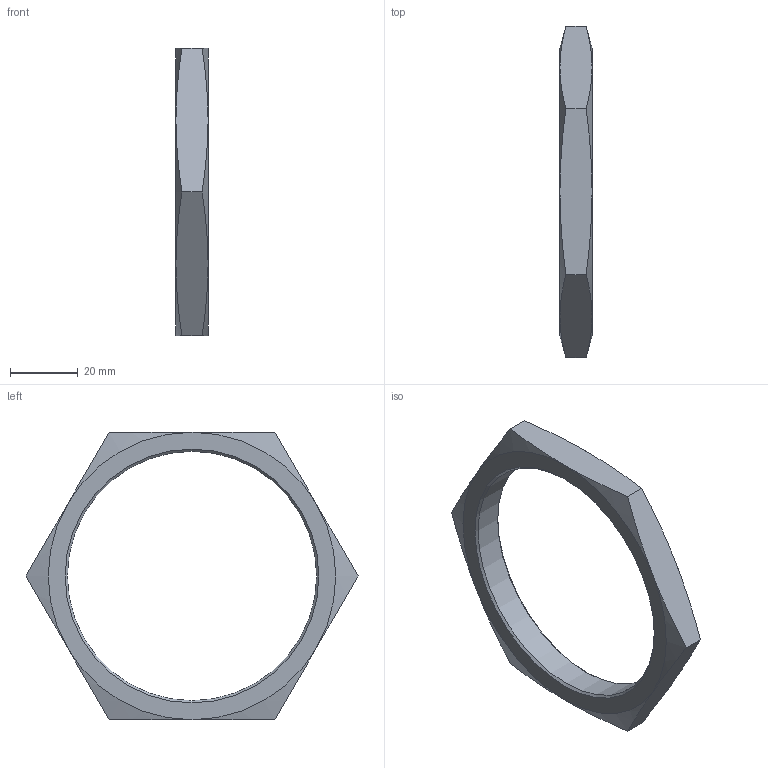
import cadquery as cq
import math

thickness = 9.5
half_thickness = thickness / 2
across_flats = 85.0
across_corners = across_flats / math.cos(math.radians(30))

face_circle_radius = across_flats / 2
corner_chamfer_angle = 15.0
rim_clearance = 1.0

bore_radius = 73.7 / 2
bore_mouth_radius = 75.0 / 2
bore_chamfer = bore_mouth_radius - bore_radius


def revolve_about_x(half_profile):
    """Solid of revolution about X from a closed list of (x, radius) points."""
    axis_start = (0, 0, 0)
    axis_end = (1, 0, 0)
    return cq.Workplane("XY").polyline(half_profile).close().revolve(360, axis_start, axis_end)


def mirrored_profile(end_radius, inner_x, inner_radius):
    """Half profile symmetric about x = 0: one radius at both faces, another between -inner_x and inner_x."""
    return [
        (-half_thickness, 0),
        (-half_thickness, end_radius),
        (-inner_x, inner_radius),
        (inner_x, inner_radius),
        (half_thickness, end_radius),
        (half_thickness, 0),
    ]


def hexagon_body():
    """Hexagonal prism centred on the origin, with corners on +Y and -Y."""
    return cq.Workplane("YZ").polygon(6, across_corners).extrude(half_thickness, both=True)


def corner_chamfer_envelope():
    """Double cone about X that trims the hexagon corners at both faces."""
    rim_radius = across_corners / 2 + rim_clearance
    rim_drop = (rim_radius - face_circle_radius) * math.tan(math.radians(corner_chamfer_angle))
    return revolve_about_x(mirrored_profile(face_circle_radius, half_thickness - rim_drop, rim_radius))


def chamfered_bore():
    """Cutting tool for the through bore, flared at both ends."""
    return revolve_about_x(mirrored_profile(bore_mouth_radius, half_thickness - bore_chamfer, bore_radius))


result = hexagon_body().intersect(corner_chamfer_envelope()).cut(chamfered_bore())